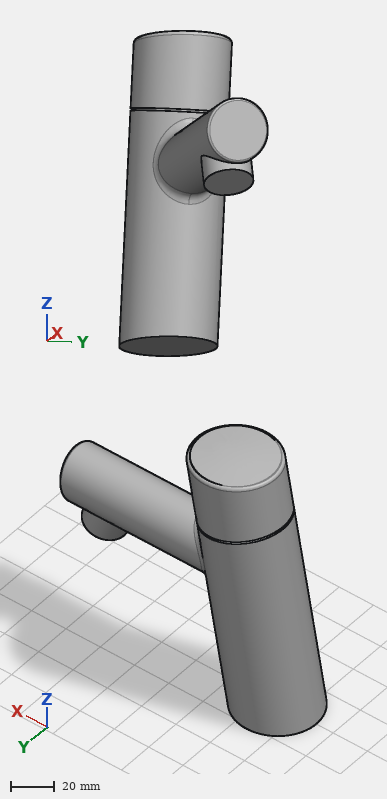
import cadquery as cq
import math

body_diameter = 45.0
lean_angle = 10.0
body_length = 106.7
rim_height = 138.0

groove_width = 1.1
neck_diameter = 40.5
neck_overlap = 2.8

cap_edge_radius = 1.7
dome_radius = 21.0
dome_height = 1.4

spout_diameter = 29.0
spout_height = 78.3
spout_tip_x = 118.0
spout_edge_radius = 1.0
spout_root_fillet = 4.9

nozzle_diameter = 22.8
nozzle_angle = 20.0
nozzle_length = 18.3
outlet_x = 100.1
outlet_z = 56.8

lean = math.radians(lean_angle)
lean_direction = cq.Vector(math.sin(lean), 0, math.cos(lean))
cut_size = 4 * body_diameter


def cylinder(diameter, length, start, direction):
    """Cylinder that grows from start along direction."""
    return cq.Workplane(obj=cq.Solid.makeCylinder(diameter / 2, length, start, direction))


def leaning_cylinder(diameter, start, end):
    """Cylinder between two distances along the body axis."""
    return cylinder(diameter, end - start, lean_direction * start, lean_direction)


def block_above(height):
    """Large block whose underside lies at the given height."""
    return cq.Workplane("XY").workplane(offset=height).rect(cut_size, cut_size).extrude(cut_size)


def make_body():
    body = leaning_cylinder(body_diameter, -body_diameter, body_length)
    return body.intersect(block_above(0))


def make_spout():
    spout_radius = spout_diameter / 2
    spout = cylinder(spout_diameter, 1.5 * spout_tip_x, cq.Vector(0, 0, spout_height), cq.Vector(1, 0, 0))
    end_x = spout_tip_x - spout_radius * math.tan(lean)
    beyond_end = (
        cq.Workplane("XY")
        .box(cut_size, cut_size, cut_size, centered=(False, True, True))
        .rotate((0, 0, 0), (0, 1, 0), lean_angle)
        .translate((end_x, 0, spout_height))
    )
    return spout.cut(beyond_end).faces(">X").edges().fillet(spout_edge_radius)


def make_nozzle():
    tilt = math.radians(nozzle_angle)
    inward = cq.Vector(-math.sin(tilt), 0, math.cos(tilt))
    return cylinder(nozzle_diameter, nozzle_length, cq.Vector(outlet_x, 0, outlet_z), inward)


def make_neck():
    return leaning_cylinder(
        neck_diameter, body_length - neck_overlap, body_length + groove_width + neck_overlap
    )


def make_cap():
    cap = leaning_cylinder(body_diameter, body_length + groove_width, rim_height + body_diameter)
    cap = cap.cut(block_above(rim_height))
    return cap.faces(">Z").edges().fillet(cap_edge_radius)


def make_dome():
    sphere_radius = (dome_radius**2 + dome_height**2) / (2 * dome_height)
    sphere_centre_z = rim_height + dome_height - sphere_radius
    sphere = cq.Workplane("XY").sphere(sphere_radius)
    sphere = sphere.translate((rim_height * math.tan(lean), 0, sphere_centre_z))
    return sphere.intersect(block_above(rim_height))


def blend_spout_root(part):
    """Round the seam where the spout leaves the body."""
    seam_reach = body_diameter
    seam_box = cq.selectors.BoxSelector(
        (0, -spout_diameter, spout_height - spout_diameter),
        (seam_reach, spout_diameter, spout_height + spout_diameter),
        boundingbox=True,
    )
    return part.edges(seam_box).fillet(spout_root_fillet)


result = blend_spout_root(make_body().union(make_spout()))
for feature in (make_nozzle(), make_neck(), make_cap(), make_dome()):
    result = result.union(feature)